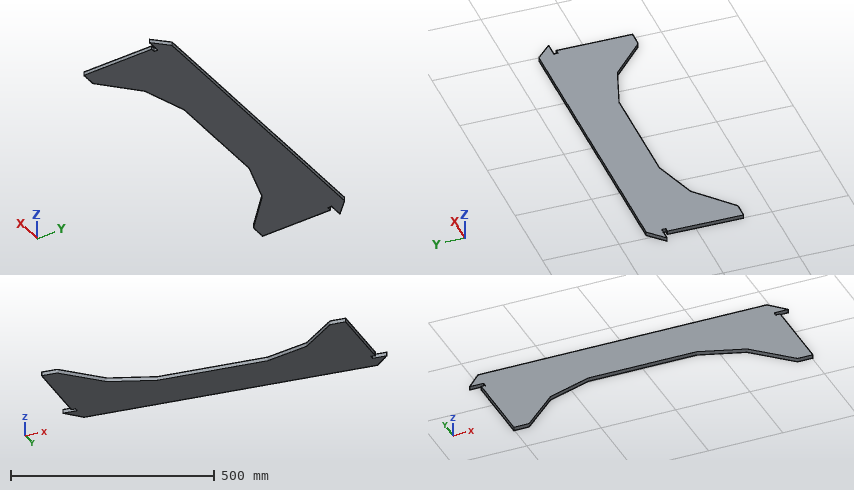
import cadquery as cq

length = 857.0
depth = 250.0
thickness = 10.0

ear_chamfer = 40.0
notch_height = 10.0
notch_half_span = 391.0
body_half_width = 402.0

foot_width = 41.0
arch_rise = 128.0
arch_half_flat = 146.0
haunch_half_span = 264.0
haunch_rise = 89.0
arch_corner_radius = 10.0

half_length = length / 2
front_y = -depth / 2
back_y = depth / 2
ear_y = back_y - ear_chamfer
shoulder_y = ear_y - notch_height

right_half = [
    (half_length - ear_chamfer, back_y),
    (half_length, ear_y),
    (notch_half_span, ear_y),
    (notch_half_span, shoulder_y),
    (body_half_width, shoulder_y),
    (body_half_width, front_y),
    (body_half_width - foot_width, front_y),
    (haunch_half_span, front_y + haunch_rise),
    (arch_half_flat, front_y + arch_rise),
]
left_half = [(-x, y) for x, y in reversed(right_half)]

plate = (
    cq.Workplane("XY")
    .polyline(right_half + left_half)
    .close()
    .extrude(thickness)
)

arch_corners = cq.selectors.BoxSelector(
    (-body_half_width + foot_width / 2, front_y - thickness, -thickness),
    (body_half_width - foot_width / 2, front_y + arch_rise + thickness, 2 * thickness),
)
result = plate.edges("|Z").edges(arch_corners).fillet(arch_corner_radius)